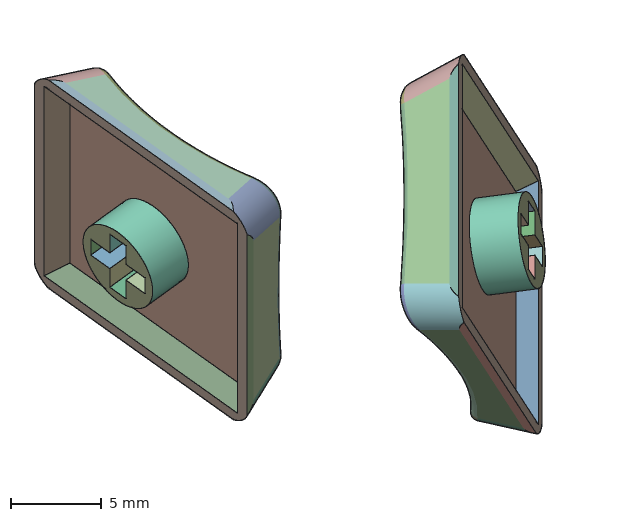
import cadquery as cq
import math


rim_width = 16.5
band_height = 0.5
wall_taper = 15.0
blank_height = 5.0
corner_radius = 2.0
top_edge_radius = 0.5

dish_floor = 2.0
dish_radius_x = 17.2
dish_radius_z = 65.0

rim_wall = 0.75
pocket_depth = 1.0
pocket_taper = 45.0

stem_diameter = 5.4
stem_protrusion = 1.8
stem_length = stem_protrusion + pocket_depth
cross_length = 4.2
cross_width = 1.25


def plane_at(height):
    """Workplane parallel to the rim, facing +Y, at the given Y."""
    return cq.Workplane("XZ", origin=(0, height, 0)).transformed(rotate=(180, 0, 0))


def tapered_square(width, base, height, taper):
    """Square frustum growing in +Y from Y = base, narrowing by the taper angle."""
    return plane_at(base).rect(width, width).extrude(height, taper=taper)


def make_blank():
    """Tapered body with rounded sloping edges, trimmed to the straight band at the rim."""
    foot_width = rim_width + 2 * band_height * math.tan(math.radians(wall_taper))
    body = tapered_square(foot_width, 0, blank_height, wall_taper)
    body = body.edges("not(|X or |Z)").fillet(corner_radius)
    band = tapered_square(rim_width, 0, blank_height, 0)
    return body.intersect(band)


def make_dish():
    """Torus whose outermost side forms the doubly curved finger surface."""
    ring_radius = dish_radius_z - dish_radius_x
    ring_centre = cq.Vector(0, dish_floor + dish_radius_z, 0)
    return cq.Solid.makeTorus(ring_radius, dish_radius_x, ring_centre, cq.Vector(1, 0, 0))


def make_cap():
    """Outer shell with the dish cut in and its surrounding edge rounded."""
    cap = make_blank().cut(cq.Workplane(make_dish()))
    return cap.faces("%TORUS").edges().fillet(top_edge_radius)


def make_pocket():
    """Shallow recess with sloping walls, open at the rim."""
    opening = rim_width - 2 * rim_wall
    return tapered_square(opening, 0, pocket_depth, pocket_taper)


def make_stem():
    """Round stem standing on the pocket floor."""
    return plane_at(-stem_protrusion).circle(stem_diameter / 2).extrude(stem_length)


def make_cross():
    """Cross-shaped socket running the whole length of the stem."""
    face = plane_at(-stem_protrusion)
    upright = face.rect(cross_width, cross_length).extrude(stem_length)
    crossbar = face.rect(cross_length, cross_width).extrude(stem_length)
    return upright.union(crossbar)


result = make_cap().cut(make_pocket()).union(make_stem()).cut(make_cross())